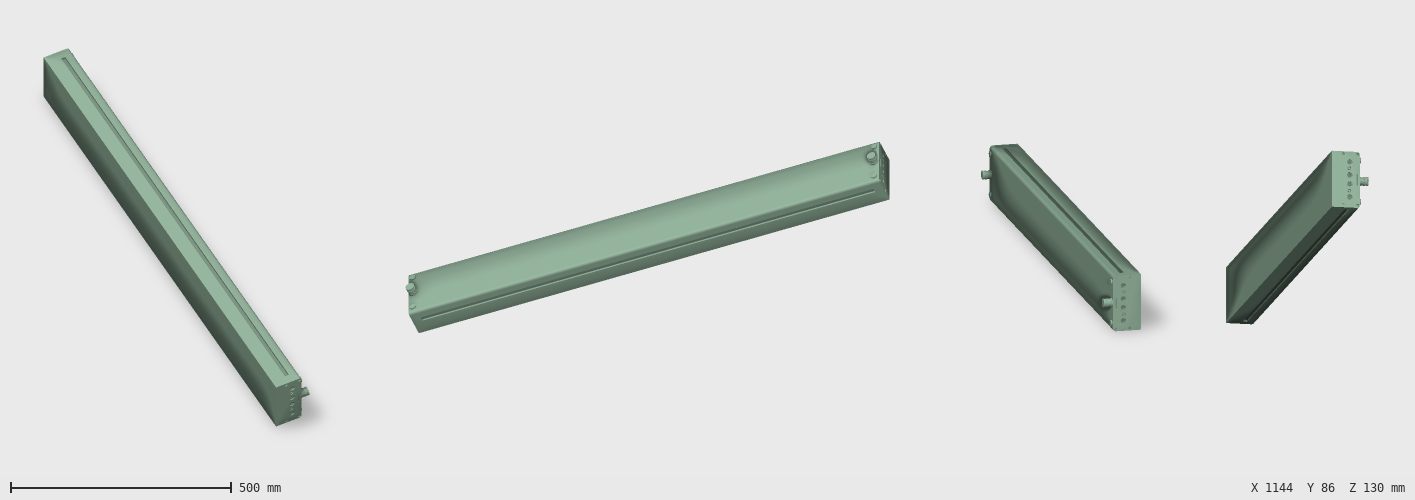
import cadquery as cq

LENGTH = 1144.0
HEIGHT = 130.0
DEPTH = 86.0
HALF_LENGTH = LENGTH / 2
HALF_HEIGHT = HEIGHT / 2

PANEL_THICKNESS = 21.0
REAR_Y = 65.0
CAP_LENGTH = 22.0
PROFILE_LENGTH = LENGTH - 2 * CAP_LENGTH
REAR_FILLET = 7.0

GROOVE_WIDTH = 10.0
GROOVE_DEPTH = 5.0
GROOVE_Y = 39.0

CONNECTOR_INSET = 11.0
FLANGE_DIAMETER = 21.0
FLANGE_THICKNESS = 3.0
NECK_DIAMETER = 18.0
HEAD_DIAMETER = 21.0
HEAD_LENGTH = 10.0
HEAD_GROOVE_WIDTH = 3.0
HEAD_GROOVE_DEPTH = 1.0

FOOT_DIAMETER = 14.0
FOOT_HEIGHT = 3.0
FOOT_INSET = 17.0
FOOT_Z = HALF_HEIGHT - FOOT_INSET

RECESS_DEPTH = 3.0
SOCKET_DIAMETER = 13.0
SOCKET_Y = 41.0
BORE_DIAMETER = 9.0
BORE_DEPTH = 7.0
SOCKET_HEIGHTS = (10.0, 41.0)
RING_OUTER_DIAMETER = 9.0
RING_INNER_DIAMETER = 5.0
RING_Y = 40.0
RING_Z = 26.0
CORNER_HOLE_DIAMETER = 7.0
CORNER_HOLE_INSET = 6.0
SLOT_LENGTH = 25.0
SLOT_WIDTH = 2.0
SLOT_Y = 58.0


def rear_bar(x_start, length):
    """Bar behind the panel, rounded along its rear top and bottom edges."""
    bar = cq.Workplane("XY").box(length, REAR_Y - PANEL_THICKNESS, HEIGHT, centered=(False, False, True))
    bar = bar.translate((x_start, PANEL_THICKNESS, 0))
    return bar.faces(">Y").edges("|X").fillet(REAR_FILLET)


def rear_disc(z, y_start, y_end, diameter):
    """Disc with its axis along Y, on the connector line of the left cap."""
    origin = (CONNECTOR_INSET - HALF_LENGTH, y_start, z)
    plane = cq.Plane(origin=origin, xDir=(1, 0, 0), normal=(0, 1, 0))
    return cq.Workplane(plane).circle(diameter / 2).extrude(y_end - y_start)


def mirrored_heights(y, heights):
    """Points on the cap face at depth y, above and below mid-height."""
    return [(y, side * z) for z in heights for side in (-1, 1)]


def make_panel():
    return cq.Workplane("XY").box(LENGTH, PANEL_THICKNESS, HEIGHT, centered=(True, False, True))


def make_profile():
    profile = rear_bar(-PROFILE_LENGTH / 2, PROFILE_LENGTH)
    groove = cq.Workplane("XY").box(PROFILE_LENGTH, GROOVE_WIDTH, 2 * GROOVE_DEPTH)
    for side in (-1, 1):
        profile = profile.cut(groove.translate((0, GROOVE_Y, side * HALF_HEIGHT)))
    return profile


def make_connector():
    flange = rear_disc(0, REAR_Y, REAR_Y + FLANGE_THICKNESS, FLANGE_DIAMETER)
    neck = rear_disc(0, REAR_Y, DEPTH, NECK_DIAMETER)
    head_start = DEPTH - HEAD_LENGTH
    groove_start = head_start + (HEAD_LENGTH - HEAD_GROOVE_WIDTH) / 2
    groove_end = groove_start + HEAD_GROOVE_WIDTH
    head_core = rear_disc(0, groove_start, groove_end, HEAD_DIAMETER - 2 * HEAD_GROOVE_DEPTH)
    head_collar = rear_disc(0, head_start, groove_start, HEAD_DIAMETER)
    head_end = rear_disc(0, groove_end, DEPTH, HEAD_DIAMETER)
    return flange.union(neck).union(head_collar).union(head_core).union(head_end)


def cut_face_recesses(cap):
    face = cq.Workplane("YZ", origin=(-HALF_LENGTH, 0, 0))
    sockets = face.pushPoints(mirrored_heights(SOCKET_Y, SOCKET_HEIGHTS)).circle(SOCKET_DIAMETER / 2)
    cap = cap.cut(sockets.extrude(RECESS_DEPTH))
    bores = face.pushPoints(mirrored_heights(SOCKET_Y, SOCKET_HEIGHTS)).circle(BORE_DIAMETER / 2)
    cap = cap.cut(bores.extrude(BORE_DEPTH))

    ring_centres = mirrored_heights(RING_Y, [RING_Z])
    rings = face.pushPoints(ring_centres).circle(RING_OUTER_DIAMETER / 2).circle(RING_INNER_DIAMETER / 2)
    cap = cap.cut(rings.extrude(RECESS_DEPTH))

    for y in (PANEL_THICKNESS + CORNER_HOLE_INSET, REAR_Y - CORNER_HOLE_INSET):
        corners = mirrored_heights(y, [HALF_HEIGHT - CORNER_HOLE_INSET])
        cap = cap.cut(face.pushPoints(corners).circle(CORNER_HOLE_DIAMETER / 2).extrude(RECESS_DEPTH))

    slot = face.center(SLOT_Y, 0).rect(SLOT_WIDTH, SLOT_LENGTH)
    return cap.cut(slot.extrude(RECESS_DEPTH))


def make_left_cap():
    cap = rear_bar(-HALF_LENGTH, CAP_LENGTH).union(make_connector())
    for side in (-1, 1):
        cap = cap.union(rear_disc(side * FOOT_Z, REAR_Y, REAR_Y + FOOT_HEIGHT, FOOT_DIAMETER))
    return cut_face_recesses(cap)


panel = make_panel()
profile = make_profile()
left_cap = make_left_cap()
right_cap = left_cap.mirror("YZ")

result = cq.Compound.makeCompound([panel.val(), profile.val(), left_cap.val(), right_cap.val()])